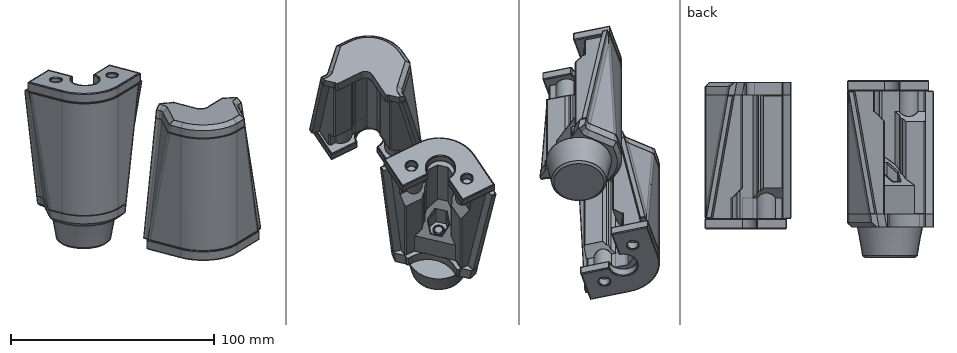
import cadquery as cq
import math

WIDTH = 42.1
CORNER_RADIUS = 20.0
ARM = 18.3
LEG_SPACING = 70.0

CAP_BOTTOM = 15.0
CAP_TOP = 21.3
HOUSING_TOP = 81.8
PLATE_TOP = 87.0
MIRROR_SUM = CAP_BOTTOM + 86.1

EDGE_BREAK = 0.3
ARM_END = 3.8
END_BREAK = 0.7
RIB_LEAN = math.tan(math.radians(10))
RIB_INNER = 13.5
RIB_DRAFT = 0.9
RIB_OUTER = 11.2
BEVEL_LEAN = 0.19
BEVEL_REACH = 14.7
BEVEL_INNER_RADIUS = 3.0
BEVEL_OUTER_RADIUS = 2.5
CHANNEL_CORNER = 17.0
CHANNEL_MOUTH = 13.5
CHANNEL_LIP_BEVEL = 1.6
CHANNEL_LIP = 0.9
CHANNEL_THROAT_X = 16.7
CHANNEL_THROAT_Y = 15.0
CHANNEL_SIDE = 18.7
RECESS_BOTTOM = 66.8
RECESS_DEPTH = 4.9
BOSS_DIAMETER = 11.2

CAP_ARM = 20.3
CAP_DIAGONAL = 14.3
CAP_CHAMFER = 2.1
FOOT_CAP_RADIUS = 15.0
PLAIN_CAP_RADIUS = 4.0

PLATE_END = 2.2
PLATE_CHAMFER = 0.5
PLATE_CORNER_CHAMFER = 0.5
PLATE_OPENING_DIAMETER = 14.0
SCREW_DIAMETER = 5.4
SCREW_X = 12.1
SCREW_Y = 10.1

FOOT_X = 21.3
FOOT_TOP_RADIUS = 16.0
FOOT_LOW_RADIUS = 13.5
FOOT_BASE_RADIUS = 12.3
FOOT_CHAMFER = 1.0
FOOT_BULGE = -0.1
STUD_DIAMETER = 5.0
STUD_BOTTOM = 5.6
STUD_TOP = 35.2
STUD_CHAMFER = 0.6
NUT_RADIUS = 5.2
NUT_BOTTOM = 30.7
NUT_TOP = 34.8
NUT_CHAMFER = 0.3
NUT_TURN = 45
SEAT_START = 9.2
SEAT_FRONT_TOP = 35.5
POCKET_CHAMFER = 0.6
POCKET_RIM_TOP = 46.0

TALL = 112.1
FOOT_Y = WIDTH - FOOT_X
CHANNEL_WALL = ARM - RECESS_DEPTH
RIB_DIRECTION = cq.Vector(0, -RIB_LEAN, 1)
BEVEL_DIRECTION = cq.Vector(RIB_LEAN - BEVEL_LEAN, -RIB_LEAN, 1)
BEVEL_EDGE_DIRECTION = cq.Vector(-BEVEL_LEAN, 0, 1)


def swap(solid):
    """Mirror image on the other arm of the L."""
    return solid.mirror(cq.Vector(1, 1, 0), cq.Vector(WIDTH / 2, WIDTH / 2, 0))


def cut_both_arms(body, cutter):
    return body.cut(cutter).cut(swap(cutter))


def l_outline(end, arm):
    """L-shaped outline whose arms start at `end` and are `arm` thick."""
    return (
        cq.Workplane()
        .moveTo(end, 0)
        .lineTo(WIDTH - CORNER_RADIUS, 0)
        .radiusArc((WIDTH, CORNER_RADIUS), -CORNER_RADIUS)
        .lineTo(WIDTH, WIDTH - end)
        .lineTo(WIDTH - arm, WIDTH - end)
        .lineTo(WIDTH - arm, arm)
        .lineTo(end, arm)
        .close()
    )


def leaning_prism(outline, lean):
    """Prism leaning along `lean`; `outline` is its section at z = CAP_TOP."""
    start = lean * (-CAP_TOP) + cq.Vector(0, 0, CAP_TOP)
    wire = outline.val().moved(cq.Location(start))
    return cq.Solid.extrudeLinear(wire, [], lean * TALL).fix()


def corner_cutter():
    """Space between the rib and the 45 degree corner bevel."""
    root_x = BEVEL_REACH - RIB_OUTER
    along = BEVEL_INNER_RADIUS * math.tan(math.pi / 8)
    drop = along * math.sqrt(0.5)
    far = WIDTH
    outline = (
        cq.Workplane()
        .moveTo(-far, RIB_OUTER)
        .lineTo(root_x - along, RIB_OUTER)
        .radiusArc((root_x + drop, RIB_OUTER - drop), BEVEL_INNER_RADIUS)
        .lineTo(BEVEL_REACH + far, -far)
        .lineTo(-far, -far)
        .close()
    )
    return leaning_prism(outline, BEVEL_DIRECTION)


def bevel_rounding():
    """Sliver that rounds the edge between the corner bevel and the outer face."""
    along = BEVEL_OUTER_RADIUS * math.tan(math.pi / 8)
    rise = along * math.sqrt(0.5)
    outline = (
        cq.Workplane()
        .moveTo(BEVEL_REACH + along, 0)
        .radiusArc((BEVEL_REACH - rise, rise), BEVEL_OUTER_RADIUS)
        .lineTo(BEVEL_REACH - along, -along)
        .lineTo(BEVEL_REACH + along, -along)
        .close()
    )
    return leaning_prism(outline, BEVEL_EDGE_DIRECTION)


def bevel_corners(body):
    body = cut_both_arms(body, corner_cutter())
    return cut_both_arms(body, bevel_rounding())


def rib_step():
    """Space beside the rib at the end of an arm."""
    outline = cq.Workplane().polyline([
        (-ARM_END, RIB_INNER - RIB_DRAFT),
        (ARM_END, RIB_INNER + RIB_DRAFT),
        (ARM_END, WIDTH),
        (-ARM_END, WIDTH),
    ]).close()
    return leaning_prism(outline, RIB_DIRECTION)


def end_break(arm, bottom=0):
    """45 degree break on the inner edge of an arm end, upward from `bottom`."""
    return (
        cq.Workplane(origin=(0, 0, bottom))
        .polyline([(ARM_END, arm - END_BREAK), (ARM_END + END_BREAK, arm), (ARM_END, arm)])
        .close()
        .extrude(TALL)
        .val()
    )


def channel():
    """Channel along the inner corner, with lips at its mouth and a bevelled back corner."""
    lip_y = ARM - CHANNEL_LIP_BEVEL
    lip_x = CHANNEL_MOUTH + CHANNEL_LIP_BEVEL
    low = [
        (CHANNEL_MOUTH, ARM),
        (lip_x, lip_y),
        (lip_x + CHANNEL_LIP, lip_y),
        (CHANNEL_THROAT_X, CHANNEL_THROAT_Y),
        (CHANNEL_SIDE, CHANNEL_WALL),
        (WIDTH - CHANNEL_CORNER, CHANNEL_WALL),
    ]
    high = [(WIDTH - y, WIDTH - x) for x, y in reversed(low)]
    return (
        cq.Workplane(origin=(0, 0, CAP_TOP))
        .polyline(low + high + [(CHANNEL_MOUTH, WIDTH - CHANNEL_MOUTH)])
        .close()
        .extrude(HOUSING_TOP - CAP_TOP)
        .val()
    )


def screw_recess():
    """Bevelled recess in the inner face of an arm, around a screw boss."""
    recess = (
        cq.Workplane("YZ")
        .polyline([
            (ARM, RECESS_BOTTOM),
            (CHANNEL_WALL, RECESS_BOTTOM + RECESS_DEPTH),
            (CHANNEL_WALL, HOUSING_TOP),
            (ARM, HOUSING_TOP),
        ])
        .close()
        .extrude(WIDTH - ARM)
    )
    boss = (
        cq.Workplane(origin=(SCREW_X, SCREW_Y, 0))
        .circle(BOSS_DIAMETER / 2)
        .extrude(TALL)
    )
    return recess.cut(boss).val()


def make_housing():
    base = l_outline(0, ARM).extrude(HOUSING_TOP - CAP_TOP)
    base = base.faces("<Z or >Z").chamfer(EDGE_BREAK).translate((0, 0, CAP_TOP)).val()
    body = cut_both_arms(base, rib_step())
    body = cut_both_arms(body, end_break(ARM))
    body = cut_both_arms(body, end_break(CHANNEL_WALL, RECESS_BOTTOM + RECESS_DEPTH))
    body = bevel_corners(body)
    body = body.cut(channel())
    return cut_both_arms(body, screw_recess())


def nut_seat():
    """Sloped block between the arms that carries the nut."""
    far = WIDTH - CHANNEL_WALL + 1.1
    footprint = (
        cq.Workplane(origin=(0, 0, CAP_TOP))
        .polyline([
            (SEAT_START, ARM),
            (WIDTH - ARM, WIDTH - SEAT_START),
            (far, WIDTH - SEAT_START),
            (far, WIDTH - far),
            (SEAT_START, WIDTH - far),
        ])
        .close()
        .extrude(HOUSING_TOP - CAP_TOP)
    )
    front = cq.Plane(origin=(SEAT_START, ARM, CAP_TOP), xDir=(1, -1, 0), normal=(-1, -1, 0))
    front_height = SEAT_FRONT_TOP - CAP_TOP
    wedge = (
        cq.Workplane(front)
        .polyline([
            (0, 0),
            (0, front_height),
            (WIDTH, front_height + WIDTH),
            (WIDTH, 0),
        ])
        .close()
        .extrude(WIDTH, both=True)
    )
    return footprint.intersect(wedge).val()


def hexagon(bottom, top):
    return (
        cq.Workplane(origin=(FOOT_X, FOOT_Y, bottom))
        .transformed(rotate=(0, 0, NUT_TURN))
        .polygon(6, 2 * NUT_RADIUS)
        .extrude(top - bottom)
    )


def stud_bore():
    return (
        cq.Workplane(origin=(FOOT_X, FOOT_Y, STUD_BOTTOM))
        .circle(STUD_DIAMETER / 2)
        .extrude(STUD_TOP - STUD_BOTTOM)
        .val()
    )


def make_nut_housing():
    """Housing with the nut seat, nut pocket and stud bore."""
    body = make_housing().fuse(nut_seat()).clean()
    body = body.cut(hexagon(NUT_BOTTOM, HOUSING_TOP).val())
    slope_direction = cq.Vector(-1, 1, math.sqrt(2))
    slope = cq.Workplane(body).faces(cq.selectors.ParallelDirSelector(slope_direction)).val()
    low_rim = [edge for edge in slope.innerWires()[0].Edges() if edge.Center().z < POCKET_RIM_TOP]
    body = body.chamfer(POCKET_CHAMFER, None, low_rim)
    return body.cut(stud_bore())


def make_cap(inner_radius):
    blank = l_outline(0, CAP_ARM).extrude(CAP_TOP - CAP_BOTTOM).translate((0, 0, CAP_BOTTOM))
    inner_edge = cq.selectors.NearestToPointSelector(
        (WIDTH - CAP_ARM, CAP_ARM, (CAP_BOTTOM + CAP_TOP) / 2)
    )
    body = cut_both_arms(blank.edges(inner_edge).fillet(inner_radius).val(), corner_cutter())
    end_outline = cq.Workplane().polyline([
        (-ARM_END, CAP_DIAGONAL - ARM_END),
        (ARM_END, CAP_DIAGONAL + ARM_END),
        (ARM_END, WIDTH),
        (-ARM_END, WIDTH),
    ]).close()
    rim = [edge for edge in cq.Workplane(body).faces("<Z").edges().vals() if on_outside(edge)]
    body = body.chamfer(CAP_CHAMFER, None, rim)
    body = cut_both_arms(body, bevel_rounding())
    body = cut_both_arms(body, leaning_prism(end_outline, RIB_DIRECTION))
    return cut_both_arms(body, end_break(CAP_ARM))


def on_outside(edge):
    """True for a cap edge that is neither on an arm end nor at the inner corner."""
    slack = 0.1
    middle = edge.Center()
    on_end = middle.x < slack or middle.y > WIDTH - slack
    at_inner_corner = middle.x < WIDTH - CAP_ARM + slack and middle.y > CAP_ARM - slack
    return not (on_end or at_inner_corner)


def make_plate():
    corner = (WIDTH - ARM, ARM)
    screws = [(SCREW_X, SCREW_Y), (WIDTH - SCREW_Y, WIDTH - SCREW_X)]
    plate = l_outline(PLATE_END, ARM).extrude(PLATE_TOP - HOUSING_TOP)
    opening = cq.Workplane().center(*corner).circle(PLATE_OPENING_DIAMETER / 2).extrude(TALL)
    holes = cq.Workplane().pushPoints(screws).circle(SCREW_DIAMETER / 2).extrude(TALL)
    plate = plate.cut(opening)
    for end in [
        (WIDTH - ARM - PLATE_OPENING_DIAMETER / 2, ARM, 0),
        (WIDTH - ARM, ARM + PLATE_OPENING_DIAMETER / 2, 0),
    ]:
        plate = plate.edges("|Z").edges(cq.NearestToPointSelector(end)).chamfer(PLATE_CORNER_CHAMFER)
    plate = plate.cut(holes)
    return plate.faces("<Z or >Z").chamfer(PLATE_CHAMFER).translate((0, 0, HOUSING_TOP)).val()


def make_foot():
    middle_radius = (FOOT_TOP_RADIUS + FOOT_LOW_RADIUS) / 2 + FOOT_BULGE
    profile = (
        cq.Workplane("XZ")
        .lineTo(FOOT_BASE_RADIUS, 0)
        .lineTo(FOOT_LOW_RADIUS, FOOT_CHAMFER)
        .threePointArc(
            (middle_radius, (CAP_BOTTOM + FOOT_CHAMFER) / 2), (FOOT_TOP_RADIUS, CAP_BOTTOM)
        )
        .lineTo(0, CAP_BOTTOM)
        .close()
    )
    foot = profile.revolve(360, (0, 0, 0), (0, 1, 0)).translate((FOOT_X, FOOT_Y, 0))
    return foot.val().cut(stud_bore())


def make_stud():
    return cq.Workplane(stud_bore()).faces(">Z").chamfer(STUD_CHAMFER).val()


def make_nut():
    nut = hexagon(NUT_BOTTOM, NUT_TOP).cut(cq.Workplane(stud_bore()))
    return nut.faces(">Z").edges("%CIRCLE").chamfer(NUT_CHAMFER).val()


def place_right(body):
    """Turn a left-leg body upside down and move it to the right leg."""
    flipped = body.mirror("XY", cq.Vector(0, 0, MIRROR_SUM / 2))
    return flipped.translate(cq.Vector(LEG_SPACING, 0, 0))


left_cap = make_cap(FOOT_CAP_RADIUS).cut(stud_bore())
left_leg = [left_cap, make_nut_housing(), make_plate()]
right_leg = [place_right(b) for b in (make_cap(PLAIN_CAP_RADIUS), make_housing(), make_plate())]
hardware = [make_foot(), make_stud(), make_nut()]

result = cq.Compound.makeCompound(left_leg + right_leg + hardware)